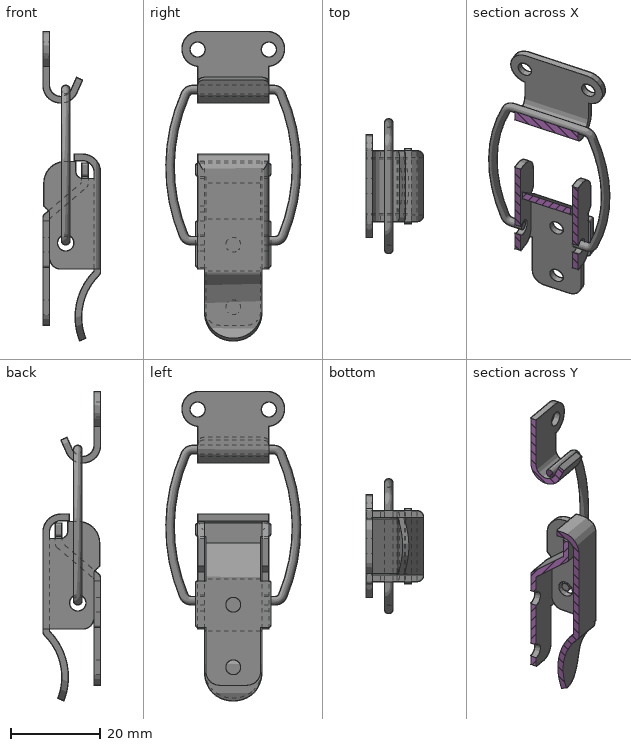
import cadquery as cq
import math


total_height = 69.5
sheet = 1.5
screw_hole_radius = 1.7

lever_depth = 13.0
lever_half_width = 8.0
lever_inner_half = lever_half_width - sheet
web_inner_x = lever_depth - sheet
lever_bottom = 16.1
lever_top = 42.0
lip_start_x = 7.0
lip_bend_radius = 4.1
side_front_x = 0.2
side_top = 40.3
side_top_radius = 4.85
side_bottom_radius = 2.5
step_top = 30.3
step_bottom = 29.0
window_x = 7.45
window_bottom = 36.5
window_radius = 1.6
window_lead_radius = 0.35
handle_radius = 14.6
handle_front_x = 7.2
handle_center_z = 5.4
handle_end_tilt = 25.0
handle_tip_x = 8.3

wire_radius = 1.0
bail_x = 5.15
bail_bottom = 22.5
bail_top = 56.4
bail_top_half = 9.05
bail_foot_y = 9.4
bail_bend_radius = 1.9
bail_outer_half = 15.15
bail_hole_radius = 1.8
bail_hole_z = 22.0

leg_half_width = 6.1
leg_bottom = 3.55
leg_corner_radius = 3.05
wing_half_width = 8.5
wing_bottom = 16.5
wing_top = 26.9
wing_bottom_radius = 0.6
wing_top_radius = 0.35
ramp_bottom = 28.15
ramp_top = 35.5
ramp_bend_radius = 1.25
flange_x = 8.7
flange_top = 39.95
tab_bottom = 37.0
tab_corner_radius = 0.6
tab_neck_radius = 0.35
base_hole_heights = [7.6, 21.6]

strike_half_width = 8.0
ear_radius = 3.95
ear_center_y = 7.6
strike_hole_y = 8.0
strike_hole_z = 65.4
hook_radius = 4.0
hook_center_z = 57.4
hook_flare = 24.0
hook_end_length = 3.05
hook_corner_radius = 1.4


def box(x_range, y_half, z_range):
    """Block that is symmetric about Y = 0."""
    (x0, x1), (z0, z1) = x_range, z_range
    return cq.Workplane("XY").box(x1 - x0, 2 * y_half, z1 - z0, centered=False).translate((x0, -y_half, z0))


def extrude_across(profile, half_width):
    """Extrude an XZ profile symmetrically along Y."""
    return profile.close().extrude(half_width, both=True)


def hole_along_x(y, z, radius):
    """Drill through the mounting sheet at X = 0."""
    return cq.Workplane("YZ").center(y, z).circle(radius).extrude(sheet)


def edge_near(x, y, z):
    return cq.NearestToPointSelector((x, y, z))


def make_base_ramp():
    """Ramp that rises from the mounting sheet and ends in an upright flange."""
    lean = math.atan2(flange_x, ramp_top - ramp_bottom)
    miter = sheet * math.tan(lean / 2)
    flange_back = flange_x + sheet
    profile = (
        cq.Workplane("XZ")
        .moveTo(0, leg_bottom)
        .lineTo(0, ramp_bottom)
        .lineTo(flange_x, ramp_top)
        .lineTo(flange_x, flange_top)
        .lineTo(flange_back, flange_top)
        .lineTo(flange_back, ramp_top - miter)
        .lineTo(sheet, ramp_bottom - miter)
        .lineTo(sheet, leg_bottom)
    )
    ramp = extrude_across(profile, leg_half_width)
    ramp = ramp.edges(edge_near(0, 0, ramp_bottom)).fillet(ramp_bend_radius)
    ramp = ramp.edges(edge_near(flange_back, 0, ramp_top - miter)).fillet(ramp_bend_radius)
    for side in (-1, 1):
        ramp = ramp.edges(edge_near(sheet / 2, side * leg_half_width, leg_bottom)).fillet(leg_corner_radius)
    return ramp


def make_base():
    wings = box((0, sheet), wing_half_width, (wing_bottom, wing_top))
    wings = wings.faces("<Z").edges("|X").fillet(wing_bottom_radius)
    wings = wings.faces(">Z").edges("|X").fillet(wing_top_radius)

    tabs = box((flange_x, flange_x + sheet), wing_half_width, (tab_bottom, flange_top))
    tabs = tabs.edges("|X").fillet(tab_corner_radius)

    base = make_base_ramp().union(wings).union(tabs)
    for side in (-1, 1):
        neck = edge_near(flange_x + sheet / 2, side * leg_half_width, tab_bottom)
        base = base.edges(neck).fillet(tab_neck_radius)
    for z in base_hole_heights:
        base = base.cut(hole_along_x(0, z, screw_hole_radius))
    return base


def make_lever_web():
    """Rear web with the lip bent forward over its top."""
    lip_bottom = lever_top - sheet
    bend_x = lever_depth - lip_bend_radius
    bend_z = lever_top - lip_bend_radius
    inner_radius = lip_bend_radius - sheet
    diagonal = math.sqrt(0.5)
    profile = (
        cq.Workplane("XZ")
        .moveTo(lip_start_x, lever_top)
        .lineTo(bend_x, lever_top)
        .threePointArc(
            (bend_x + lip_bend_radius * diagonal, bend_z + lip_bend_radius * diagonal),
            (lever_depth, bend_z),
        )
        .lineTo(lever_depth, lever_bottom)
        .lineTo(web_inner_x, lever_bottom)
        .lineTo(web_inner_x, bend_z)
        .threePointArc(
            (bend_x + inner_radius * diagonal, bend_z + inner_radius * diagonal),
            (bend_x, lip_bottom),
        )
        .lineTo(lip_start_x, lip_bottom)
    )
    return extrude_across(profile, lever_half_width)


def make_lever_sides():
    """Both side walls with their pivot windows and bail holes."""
    profile = (
        cq.Workplane("XZ")
        .moveTo(side_front_x, step_top)
        .lineTo(side_front_x, side_top)
        .lineTo(window_x, side_top)
        .lineTo(window_x, window_bottom)
        .lineTo(lever_depth, window_bottom)
        .lineTo(lever_depth, lever_bottom)
        .lineTo(sheet, lever_bottom)
        .lineTo(sheet, step_bottom)
    )
    sides = extrude_across(profile, lever_half_width)
    rounded_corners = [
        (side_front_x, side_top, side_top_radius),
        (sheet, lever_bottom, side_bottom_radius),
        (window_x, window_bottom, window_radius),
        (window_x, side_top, window_lead_radius),
    ]
    for x, z, radius in rounded_corners:
        sides = sides.edges(edge_near(x, 0, z)).fillet(radius)
    bail_hole = cq.Workplane("XZ").center(bail_x, bail_hole_z).circle(bail_hole_radius)
    sides = sides.cut(bail_hole.extrude(lever_half_width, both=True))
    return sides.cut(box((0, lever_depth), lever_inner_half, (0, total_height)))


def make_handle():
    """Curved finger grip with a round end."""
    center_x = handle_front_x + handle_radius
    rear_radius = handle_radius - sheet

    def arc_point(radius, x):
        return (x, handle_center_z + math.sqrt(radius**2 - (center_x - x) ** 2))

    front_top = arc_point(handle_radius, web_inner_x)
    rear_top = arc_point(rear_radius, lever_depth)
    end_angle = math.radians(handle_end_tilt)

    def arc_end(radius):
        return (center_x - radius * math.cos(end_angle), handle_center_z - radius * math.sin(end_angle))

    profile = (
        cq.Workplane("XZ")
        .moveTo(web_inner_x, lever_bottom)
        .lineTo(*front_top)
        .threePointArc((handle_front_x, handle_center_z), arc_end(handle_radius))
        .lineTo(*arc_end(rear_radius))
        .threePointArc((handle_front_x + sheet, handle_center_z), rear_top)
        .lineTo(lever_depth, lever_bottom)
    )
    grip = extrude_across(profile, lever_inner_half)
    grip = grip.edges(edge_near(rear_top[0], 0, rear_top[1])).fillet(sheet)

    axis = (math.cos(end_angle), 0, math.sin(end_angle))
    plane = cq.Plane(origin=(handle_tip_x, 0, 0), xDir=(0, 1, 0), normal=axis)
    outline = (
        cq.Workplane(plane)
        .moveTo(-lever_inner_half, lever_inner_half)
        .threePointArc((0, 0), (lever_inner_half, lever_inner_half))
        .lineTo(lever_inner_half, total_height)
        .lineTo(-lever_inner_half, total_height)
        .close()
        .extrude(lever_depth, both=True)
    )
    return grip.intersect(outline)


def make_lever():
    shell = make_lever_web().union(make_lever_sides())
    rounded_block = box((0, lever_depth), lever_half_width, (0, total_height))
    rounded_block = rounded_block.faces(">X").edges("|Z").fillet(sheet)
    return shell.intersect(rounded_block).union(make_handle())


def make_bail():
    """Wire loop with bowed arms whose lower ends sit in the lever's side walls."""
    arm_y = bail_outer_half - wire_radius
    top_bend_z = bail_top - bail_bend_radius
    foot_bend_z = bail_bottom + bail_bend_radius

    top_bow = arm_y - bail_bend_radius - bail_top_half
    foot_bow = arm_y - bail_bend_radius - bail_foot_y
    square = foot_bow - top_bow
    half_linear = foot_bow * top_bend_z - top_bow * foot_bend_z
    constant = foot_bow * top_bend_z**2 - top_bow * foot_bend_z**2 - top_bow * foot_bow * square
    arm_z = (half_linear - math.sqrt(half_linear**2 - square * constant)) / square
    arm_radius = bail_bend_radius + (top_bow**2 + (top_bend_z - arm_z) ** 2) / (2 * top_bow)
    arm_center_y = arm_y - arm_radius

    def bend_points(side, bend_y, bend_z, start_angle):
        """Middle and arm end of a corner bend that starts at a straight stretch."""
        arm_angle = math.atan2(bend_z - arm_z, bend_y - arm_center_y)
        points = []
        for angle in ((start_angle + arm_angle) / 2, arm_angle):
            y = bend_y + bail_bend_radius * math.cos(angle)
            z = bend_z + bail_bend_radius * math.sin(angle)
            points.append((side * y, z))
        return points

    def top_bend(side):
        return bend_points(side, bail_top_half, top_bend_z, math.pi / 2)

    def foot_bend(side):
        return bend_points(side, bail_foot_y, foot_bend_z, -math.pi / 2)

    left_top_middle, left_top_end = top_bend(-1)
    right_foot_middle, right_foot_end = foot_bend(1)
    path = (
        cq.Workplane("YZ", origin=(bail_x, 0, 0))
        .moveTo(-lever_inner_half, bail_bottom)
        .lineTo(-bail_foot_y, bail_bottom)
        .threePointArc(*foot_bend(-1))
        .threePointArc((-arm_y, arm_z), left_top_end)
        .threePointArc(left_top_middle, (-bail_top_half, bail_top))
        .lineTo(bail_top_half, bail_top)
        .threePointArc(*top_bend(1))
        .threePointArc((arm_y, arm_z), right_foot_end)
        .threePointArc(right_foot_middle, (bail_foot_y, bail_bottom))
        .lineTo(lever_inner_half, bail_bottom)
    )
    section = cq.Workplane("XZ", origin=(bail_x, -lever_inner_half, bail_bottom)).circle(wire_radius)
    return section.sweep(path)


def make_strike():
    """Screw-on plate with two ears and a flared hook that holds the bail."""
    flare = math.radians(hook_flare)
    inner_radius = hook_radius - sheet

    def bend_end(radius):
        return (hook_radius + radius * math.cos(flare), hook_center_z - radius * math.sin(flare))

    def free_end(radius):
        x, z = bend_end(radius)
        return (x + hook_end_length * math.sin(flare), z + hook_end_length * math.cos(flare))

    profile = (
        cq.Workplane("XZ")
        .moveTo(0, total_height)
        .lineTo(0, hook_center_z)
        .threePointArc((hook_radius, hook_center_z - hook_radius), bend_end(hook_radius))
        .lineTo(*free_end(hook_radius))
        .lineTo(*free_end(inner_radius))
        .lineTo(*bend_end(inner_radius))
        .threePointArc((hook_radius, hook_center_z - inner_radius), (sheet, hook_center_z))
        .lineTo(sheet, total_height)
    )
    strike = extrude_across(profile, strike_half_width)

    end_x, end_z = free_end((hook_radius + inner_radius) / 2)
    for side in (-1, 1):
        corner = edge_near(end_x, side * strike_half_width, end_z)
        strike = strike.edges(corner).fillet(hook_corner_radius)

    ear_z = total_height - ear_radius
    ear_span = 2 * (ear_center_y + ear_radius)
    ear_band = cq.Workplane("YZ").center(0, ear_z).slot2D(ear_span, 2 * ear_radius).extrude(sheet)
    below_ears = box((0, lever_depth), strike_half_width, (0, ear_z))
    strike = strike.intersect(below_ears).union(ear_band)
    for side in (-1, 1):
        strike = strike.cut(hole_along_x(side * strike_hole_y, strike_hole_z, screw_hole_radius))
    return strike


base = make_base().solids()
lever = make_lever().solids()
bail = make_bail().solids()
strike = make_strike().solids()

result = cq.Compound.makeCompound([base.val(), lever.val(), bail.val(), strike.val()])